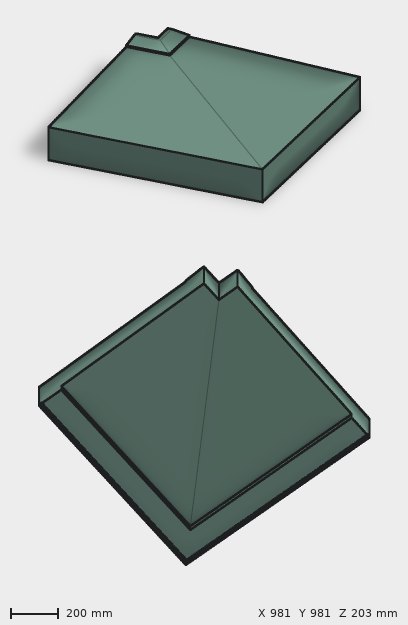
import cadquery as cq

side = 981.0
peak_height = 203.0
edge_height = 152.0
notch = 100.0

rim_end = 120.0
collar_end = 199.0
collar_edge_height = 190.0
roof_start_height = 184.0

lip_width = 120.0
lip_depth = 30.0
hollow_end = side - lip_width
roof_slope = (roof_start_height - edge_height) / (side - collar_end)
hollow_height = lip_depth + roof_slope * hollow_end

groove_start = 967.0
groove_end = 972.0
groove_depth = 8.0


def hipped_solid(profile):
    """Common volume of one (distance, height) profile extruded along both wings."""
    x_wing = cq.Workplane("XZ").polyline(profile).close().extrude(side)
    y_wing = x_wing.mirror("YZ").rotate((0, 0, 0), (0, 0, 1), 90)
    return x_wing.intersect(y_wing)


def make_body():
    return hipped_solid([
        (0, 0),
        (side, 0),
        (side, edge_height),
        (collar_end, roof_start_height),
        (collar_end, collar_edge_height),
        (rim_end, peak_height),
        (0, peak_height),
    ])


def make_hollow():
    return hipped_solid([
        (0, 0),
        (hollow_end, 0),
        (hollow_end, lip_depth),
        (0, hollow_height),
    ])


def hipped_block(end, height):
    return hipped_solid([(0, 0), (end, 0), (end, height), (0, height)])


def make_drip_groove():
    return hipped_block(groove_end, groove_depth).cut(hipped_block(groove_start, groove_depth))


def make_notch():
    block = cq.Workplane("XY").box(notch, notch, peak_height, centered=False)
    return block.translate((0, -notch, 0))


result = make_body().cut(make_hollow()).cut(make_drip_groove()).cut(make_notch())